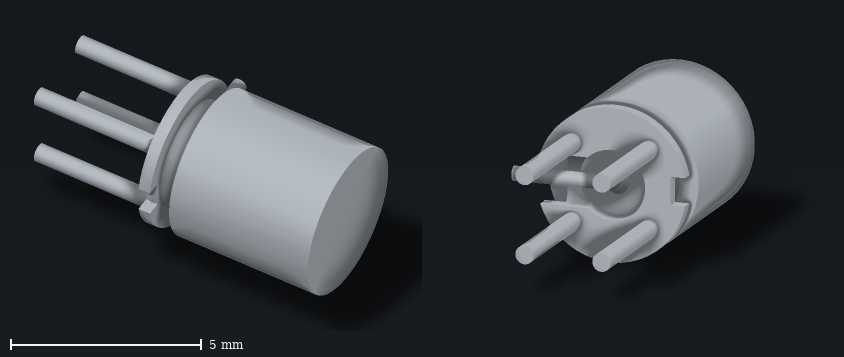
import cadquery as cq
import math

overall_length = 8.75
body_radius = 2.1
body_front = 4.55
neck_radius = 1.55
flange_front = 3.605
flange_back = 3.95

pin_radius = 0.25
pin_offset = 1.08

bore_radius = 0.95
insert_radius = 1.03
floor_x = 4.05

channel_width = 1.38
channel_radius = channel_width / 2
channel_axis_x = 3.79

groove_radius = 1.65
groove_depth = 0.05

notch_width = 0.77
notch_floor = 1.66

wire_radius = 0.2
wire_x = 3.84
wire_tip_y = 2.85
bend_radius = 0.26
tip_dome_height = 0.05
foot_radius = 0.35
foot_height = 0.12
wire_root_x = 4.2


def cylinder_x(radius, start, end):
    """Solid cylinder on the X axis between two X positions."""
    return cq.Workplane("YZ", origin=(start, 0, 0)).circle(radius).extrude(end - start)


def box_between(low, high):
    """Axis-aligned box given by two opposite corners."""
    size = [b - a for a, b in zip(low, high)]
    return cq.Workplane("XY").box(*size, centered=False).translate(low)


def make_housing():
    flange = cylinder_x(body_radius, flange_front, flange_back)
    neck = cylinder_x(neck_radius, flange_front, body_front + groove_depth)
    groove = cylinder_x(groove_radius, body_front, body_front + groove_depth)
    body = cylinder_x(body_radius, body_front, overall_length).cut(groove)
    return body.union(neck).union(flange)


def make_channel():
    """U-shaped channel from the bore out through the +Y side."""
    straight = box_between(
        (flange_front, 0, -channel_radius), (channel_axis_x, body_radius, channel_radius)
    )
    channel_plane = cq.Workplane("XZ", origin=(channel_axis_x, 0, 0))
    round_bottom = channel_plane.circle(channel_radius).extrude(-body_radius)
    insert = cylinder_x(insert_radius, floor_x, overall_length)
    return round_bottom.union(straight).cut(insert)


def make_notch():
    return box_between(
        (flange_front, -body_radius, -notch_width / 2), (flange_back, -notch_floor, notch_width / 2)
    )


def make_pins():
    centres = [(y, z) for y in (-pin_offset, pin_offset) for z in (-pin_offset, pin_offset)]
    return cq.Workplane("YZ").pushPoints(centres).circle(pin_radius).extrude(flange_back)


def make_wire():
    """Wire rooted below the bore floor, bending a quarter turn towards +Y."""
    dome_base_y = wire_tip_y - tip_dome_height
    bend_end_x = wire_x + bend_radius
    bend_middle = bend_radius * (1 - math.sqrt(0.5))
    path = (
        cq.Workplane("XY")
        .moveTo(wire_root_x, 0)
        .lineTo(bend_end_x, 0)
        .threePointArc((wire_x + bend_middle, bend_middle), (wire_x, bend_radius))
        .lineTo(wire_x, dome_base_y)
    )
    wire = cq.Workplane("YZ", origin=(wire_root_x, 0, 0)).circle(wire_radius).sweep(path)
    dome_sphere_radius = (wire_radius**2 + tip_dome_height**2) / (2 * tip_dome_height)
    dome = (
        cq.Workplane("XZ", origin=(wire_x, dome_base_y, 0))
        .circle(wire_radius)
        .extrude(-tip_dome_height)
        .intersect(
            cq.Workplane("XY").sphere(dome_sphere_radius).translate(
                (wire_x, wire_tip_y - dome_sphere_radius, 0)
            )
        )
    )
    foot = (
        cq.Workplane("YZ", origin=(floor_x, 0, 0))
        .circle(foot_radius)
        .workplane(offset=-foot_height)
        .circle(wire_radius)
        .loft()
    )
    return wire.union(dome).union(foot)


bore = cylinder_x(bore_radius, flange_front, floor_x)
housing = make_housing().cut(bore).cut(make_channel()).cut(make_notch())
result = housing.union(make_pins()).union(make_wire())